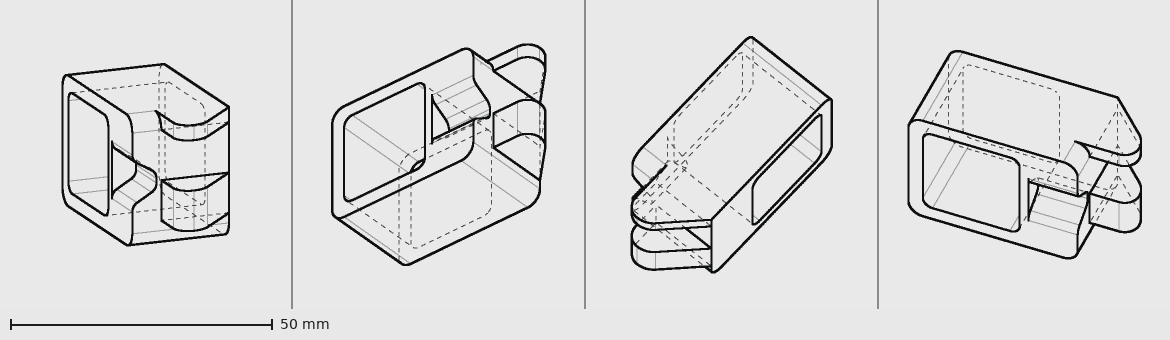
import cadquery as cq
import math

BODY_LENGTH = 35.0
BODY_DEPTH = 20.0
BODY_HEIGHT = 26.0
BODY_CORNER_RADIUS = 3.0
WALL = 3.0
WINDOW_SIZE = BODY_HEIGHT - 2 * WALL
WINDOW_CORNER_RADIUS = 2.0

TAB_REACH = 9.0
TAB_FRONT_Y = 6.0
TAB_FRONT_RADIUS = 3.0
TAB_SLOPE = math.radians(45)
FRONT_ARC_MIDDLE = math.pi / 4
UPPER_TAB_THICKNESS = 3.0
LOWER_TAB_BOTTOM = 5.0
LOWER_TAB_THICKNESS = 8.0

GROOVE_START_X = 24.8
GROOVE_DEPTH = 5.0
GROOVE_MOUTH = 9.0
GROOVE_WALL_ANGLE = math.radians(30)
GROOVE_RADIUS = 2.0


def rounded_block(start, length, height, corner_radius):
    """Block as deep as the body, starting at X = Z = start, with its edges along Y rounded."""
    block = cq.Workplane("XY").box(length, BODY_DEPTH, height, centered=False)
    return block.edges("|Y").fillet(corner_radius).translate((start, 0, start))


def make_body():
    outer = rounded_block(0, BODY_LENGTH, BODY_HEIGHT, BODY_CORNER_RADIUS)
    window = rounded_block(WALL, WINDOW_SIZE, WINDOW_SIZE, WINDOW_CORNER_RADIUS)
    return outer.cut(window)


def make_tab(z_bottom, thickness, root_x):
    """Plate with a sloped back edge that rounds over into its tip.

    root_x is where the plate starts, inside the +X end of the body.
    """
    tip_x = BODY_LENGTH + TAB_REACH
    arc_y = TAB_FRONT_Y + TAB_FRONT_RADIUS
    front_arc_x = tip_x - TAB_FRONT_RADIUS

    slope_at_tip_y = BODY_DEPTH - TAB_REACH * math.tan(TAB_SLOPE)
    tangent_length = slope_at_tip_y - arc_y
    back_radius = tangent_length / math.tan(TAB_SLOPE / 2)
    back_arc_x = tip_x - back_radius

    def on_arc(center_x, radius, angle):
        return (center_x + radius * math.cos(angle), arc_y + radius * math.sin(angle))

    return (
        cq.Workplane("XY", origin=(0, 0, z_bottom))
        .moveTo(root_x, TAB_FRONT_Y)
        .lineTo(front_arc_x, TAB_FRONT_Y)
        .threePointArc(on_arc(front_arc_x, TAB_FRONT_RADIUS, -FRONT_ARC_MIDDLE), (tip_x, arc_y))
        .threePointArc(
            on_arc(back_arc_x, back_radius, TAB_SLOPE / 2),
            on_arc(back_arc_x, back_radius, TAB_SLOPE),
        )
        .lineTo(BODY_LENGTH, BODY_DEPTH)
        .lineTo(root_x, BODY_DEPTH)
        .close()
        .extrude(thickness)
    )


def make_groove():
    """Trapezoid channel with rounded lips at its mouth and rounded corners at its floor."""
    mid_z = BODY_HEIGHT / 2
    sharp_mouth_half = GROOVE_MOUTH / 2
    sharp_floor_half = sharp_mouth_half - GROOVE_DEPTH * math.tan(GROOVE_WALL_ANGLE)

    turn = math.pi / 2 - GROOVE_WALL_ANGLE
    tangent_length = GROOVE_RADIUS * math.tan(turn / 2)
    lip_half = sharp_mouth_half + tangent_length
    floor_half = sharp_floor_half - tangent_length

    def lip_point(side, angle):
        y = GROOVE_RADIUS * (1 - math.cos(angle))
        return (y, mid_z + side * (lip_half - GROOVE_RADIUS * math.sin(angle)))

    def floor_point(side, angle):
        y = GROOVE_DEPTH - GROOVE_RADIUS * (1 - math.cos(angle))
        return (y, mid_z + side * (floor_half + GROOVE_RADIUS * math.sin(angle)))

    below, above = -1, 1
    return (
        cq.Workplane("YZ", origin=(GROOVE_START_X, 0, 0))
        .moveTo(*lip_point(below, 0))
        .threePointArc(lip_point(below, turn / 2), lip_point(below, turn))
        .lineTo(*floor_point(below, turn))
        .threePointArc(floor_point(below, turn / 2), floor_point(below, 0))
        .lineTo(*floor_point(above, 0))
        .threePointArc(floor_point(above, turn / 2), floor_point(above, turn))
        .lineTo(*lip_point(above, turn))
        .threePointArc(lip_point(above, turn / 2), lip_point(above, 0))
        .close()
        .extrude(BODY_LENGTH - GROOVE_START_X)
    )


tab_root_x = BODY_LENGTH - BODY_CORNER_RADIUS
upper_tab = make_tab(BODY_HEIGHT - UPPER_TAB_THICKNESS, UPPER_TAB_THICKNESS, tab_root_x)
lower_tab = make_tab(LOWER_TAB_BOTTOM, LOWER_TAB_THICKNESS, tab_root_x)

result = make_body().cut(make_groove()).union(upper_tab).union(lower_tab)